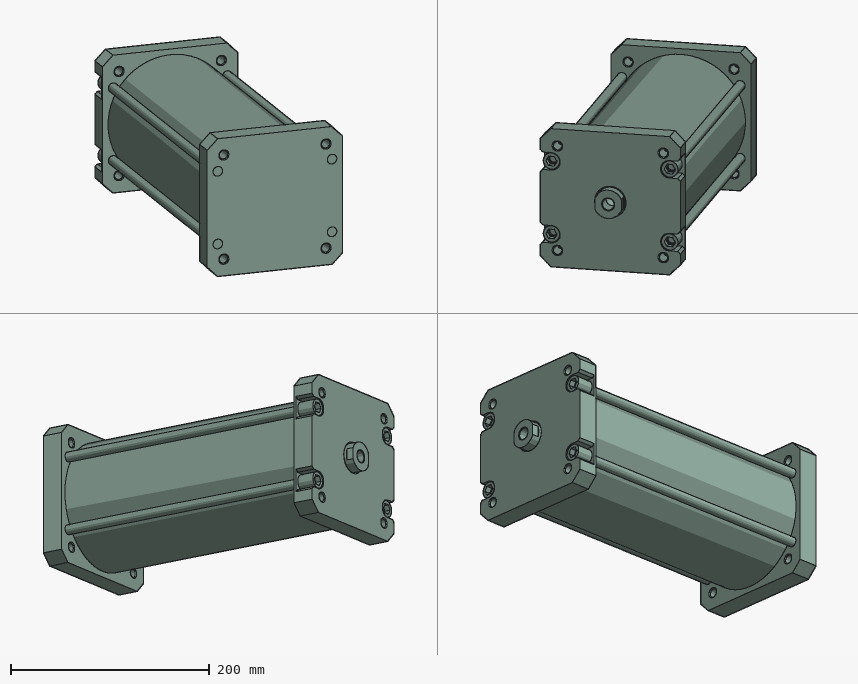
import cadquery as cq
import math


total_length = 338.0
plate_side = 145.0
plate_thickness = 22.3
plate_corner_chamfer = 11.0
rod_protrusion = 9.5

rod_diameter = 29.7
rod_across_flats = 27.5
rod_flat_length = 7.5
rod_bore_diameter = 12.0
rod_bore_depth = 17.0
rod_bore_chamfer = 0.7
drill_point_angle = 118.0
rod_passage_chamfer = 1.5

mount_hole_offset = 54.8
mount_hole_diameter = 8.8
mount_hole_chamfer = 1.0

barrel_diameter = 133.2
tie_rod_y = 61.2
tie_rod_z = 38.2
tie_rod_diameter = 10.0
head_diameter = 17.0
head_recess = 1.0
socket_across_flats = 9.8
socket_depth = 6.8
socket_pilot_diameter = 8.0
socket_pilot_depth = 10.0

slot_width = 18.3
slot_depth = 19.5
slot_mouth_chamfer = 2.7

front_face = rod_protrusion
barrel_start = front_face + plate_thickness
rear_face = total_length
barrel_end = rear_face - plate_thickness
slot_floor = front_face + slot_depth
head_face = front_face + head_recess

tie_rod_places = [(y, z) for y in (-tie_rod_y, tie_rod_y) for z in (-tie_rod_z, tie_rod_z)]
mount_hole_places = [
    (y, z)
    for y in (-mount_hole_offset, mount_hole_offset)
    for z in (-mount_hole_offset, mount_hole_offset)
]


def cylinder(x_start, x_end, diameter, y=0.0, z=0.0):
    """Cylinder along X between two X positions."""
    return cq.Workplane("YZ", origin=(x_start, y, z)).circle(diameter / 2).extrude(x_end - x_start)


def cone(x_start, length, start_diameter, end_diameter, y=0.0, z=0.0):
    """Cone along +X with its first circle at x_start."""
    return cq.Workplane(
        cq.Solid.makeCone(
            start_diameter / 2, end_diameter / 2, length, cq.Vector(x_start, y, z), cq.Vector(1, 0, 0)
        )
    )


def countersink(x_face, diameter, size, y=0.0, z=0.0):
    """45 degree hole chamfer that narrows from x_face toward +X."""
    return cone(x_face, size, diameter + 2 * size, diameter, y, z)


def make_plate(x_start):
    """Square plate with bevelled corners and four mounting holes chamfered at both ends."""
    x_end = x_start + plate_thickness
    plate = (
        cq.Workplane("YZ", origin=(x_start, 0, 0))
        .rect(plate_side, plate_side)
        .extrude(plate_thickness)
        .edges("|X")
        .chamfer(plate_corner_chamfer)
    )
    mouth_diameter = mount_hole_diameter + 2 * mount_hole_chamfer
    for y, z in mount_hole_places:
        plate = plate.cut(cylinder(x_start, x_end, mount_hole_diameter, y, z))
        plate = plate.cut(countersink(x_start, mount_hole_diameter, mount_hole_chamfer, y, z))
        rear_mouth = cone(
            x_end - mount_hole_chamfer, mount_hole_chamfer, mount_hole_diameter, mouth_diameter, y, z
        )
        plate = plate.cut(rear_mouth)
    return plate


def make_head_slot(y, z):
    """Round-ended slot that opens through the nearest Y side, with a bevelled mouth."""
    side = math.copysign(1, y)
    edge = side * plate_side / 2
    bevel_start = edge - side * slot_mouth_chamfer
    half_width = slot_width / 2
    half_mouth = half_width + slot_mouth_chamfer
    return (
        cq.Workplane("YZ", origin=(front_face, 0, 0))
        .moveTo(y, z + half_width)
        .lineTo(bevel_start, z + half_width)
        .lineTo(edge, z + half_mouth)
        .lineTo(edge, z - half_mouth)
        .lineTo(bevel_start, z - half_width)
        .lineTo(y, z - half_width)
        .threePointArc((y - side * half_width, z), (y, z + half_width))
        .close()
        .extrude(slot_depth)
    )


def make_front_plate():
    plate = make_plate(front_face)
    plate = plate.cut(cylinder(front_face, barrel_start, rod_diameter))
    plate = plate.cut(countersink(front_face, rod_diameter, rod_passage_chamfer))
    for y, z in tie_rod_places:
        plate = plate.cut(make_head_slot(y, z))
        plate = plate.cut(cylinder(slot_floor, barrel_start, tie_rod_diameter, y, z))
    return plate


def make_rear_plate():
    plate = make_plate(barrel_end)
    for y, z in tie_rod_places:
        plate = plate.cut(cylinder(barrel_end, rear_face, tie_rod_diameter, y, z))
    return plate


def make_barrel():
    return cylinder(barrel_start, barrel_end, barrel_diameter)


def make_piston_rod():
    """Rod with two wrench flats on its Y sides and a drilled, chamfered end bore."""
    rod = cylinder(0, barrel_start, rod_diameter)
    flatted_tip = cq.Workplane("XY").box(
        rod_flat_length, rod_across_flats, rod_diameter, centered=(False, True, True)
    )
    rod = rod.cut(cylinder(0, rod_flat_length, rod_diameter).cut(flatted_tip))
    point_length = rod_bore_diameter / 2 / math.tan(math.radians(drill_point_angle / 2))
    rod = rod.cut(cylinder(0, rod_bore_depth, rod_bore_diameter))
    rod = rod.cut(cone(rod_bore_depth, point_length, rod_bore_diameter, 0))
    return rod.cut(countersink(0, rod_bore_diameter, rod_bore_chamfer))


def make_tie_rod(y, z):
    """Long bolt with a round head and a hexagon socket over a pilot hole, socket corners along Y."""
    head = cylinder(head_face, slot_floor, head_diameter, y, z)
    shank = cylinder(slot_floor, rear_face, tie_rod_diameter, y, z)
    socket_across_corners = socket_across_flats / math.cos(math.pi / 6)
    socket = (
        cq.Workplane("YZ", origin=(head_face, y, z))
        .polygon(6, socket_across_corners)
        .extrude(socket_depth)
    )
    pilot_hole = cylinder(head_face, head_face + socket_pilot_depth, socket_pilot_diameter, y, z)
    return head.union(shank).cut(socket).cut(pilot_hole)


front_plate = make_front_plate()
rear_plate = make_rear_plate()
barrel = make_barrel()
piston_rod = make_piston_rod()
tie_rods = [make_tie_rod(y, z) for y, z in tie_rod_places]

result = cq.Compound.makeCompound(
    [
        front_plate.val(),
        rear_plate.val(),
        barrel.val(),
        piston_rod.val(),
        *[tie_rod.val() for tie_rod in tie_rods],
    ]
)